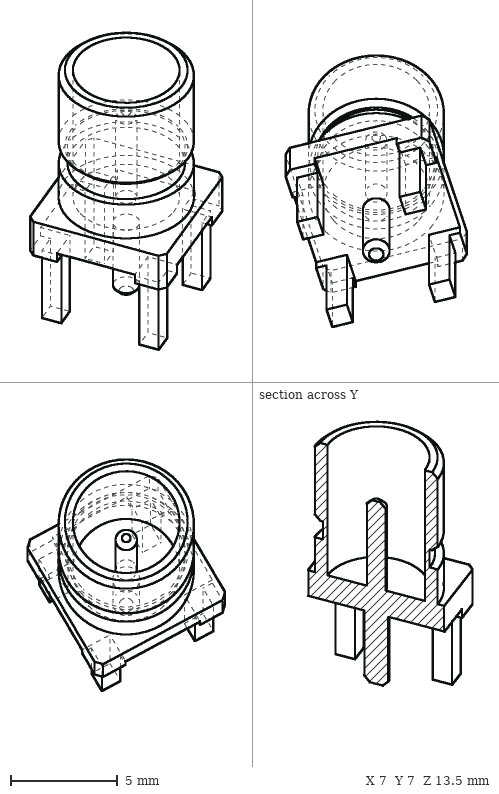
import cadquery as cq

base_width = 7.0
base_height = 2.0
corner_chamfer = 0.3
relief_width = 4.0
relief_depth = 0.5

leg_length = 4.0
leg_width = 1.0
leg_spacing = relief_width + leg_width

barrel_diameter = 6.35
groove_diameter = 5.51
bore_diameter = 5.0
collar_height = 2.0
groove_height = 1.0
barrel_chamfer = 0.3
total_height = 13.5

tail_diameter = 1.25
tail_tip_diameter = 0.68
tail_tip_height = 0.32
tail_bottom = 0.46
pin_diameter = 1.0
pin_tip_diameter = 0.4
pin_tip_height = 0.3
pin_height = 5.0

base_bottom = leg_length
base_top = base_bottom + base_height
collar_top = base_top + collar_height
groove_top = collar_top + groove_height
relief_top = base_bottom + relief_depth
pin_top = base_top + pin_height


def revolve_profile(points):
    """Revolve (radius, height) points around the Z axis."""
    return cq.Workplane("XZ").polyline(points).close().revolve(360, (0, 0), (0, 1))


def make_base():
    base = (
        cq.Workplane("XY", origin=(0, 0, base_bottom))
        .rect(base_width, base_width)
        .extrude(base_height)
        .edges("|Z")
        .chamfer(corner_chamfer)
    )
    channels = (
        cq.Workplane("XY", origin=(0, 0, base_bottom))
        .rect(relief_width, base_width)
        .extrude(relief_depth)
        .union(
            cq.Workplane("XY", origin=(0, 0, base_bottom))
            .rect(base_width, relief_width)
            .extrude(relief_depth)
        )
    )
    return base.cut(channels)


def make_legs():
    return (
        cq.Workplane("XY")
        .rect(leg_spacing, leg_spacing, forConstruction=True)
        .vertices()
        .rect(leg_width, leg_width)
        .extrude(base_bottom + base_height / 2)
    )


def make_barrel():
    outer = barrel_diameter / 2
    groove = groove_diameter / 2
    bore = bore_diameter / 2
    rim = outer - barrel_chamfer
    return revolve_profile([
        (bore, base_top),
        (outer, base_top),
        (outer, collar_top),
        (groove, collar_top),
        (groove, groove_top),
        (rim, groove_top),
        (outer, groove_top + barrel_chamfer),
        (outer, total_height - barrel_chamfer),
        (rim, total_height),
        (bore, total_height),
    ])


def make_contact():
    tail = tail_diameter / 2
    pin = pin_diameter / 2
    return revolve_profile([
        (0, tail_bottom),
        (tail_tip_diameter / 2, tail_bottom),
        (tail, tail_bottom + tail_tip_height),
        (tail, relief_top),
        (pin, relief_top),
        (pin, pin_top - pin_tip_height),
        (pin_tip_diameter / 2, pin_top),
        (0, pin_top),
    ])


result = make_base().union(make_legs()).union(make_barrel()).union(make_contact())